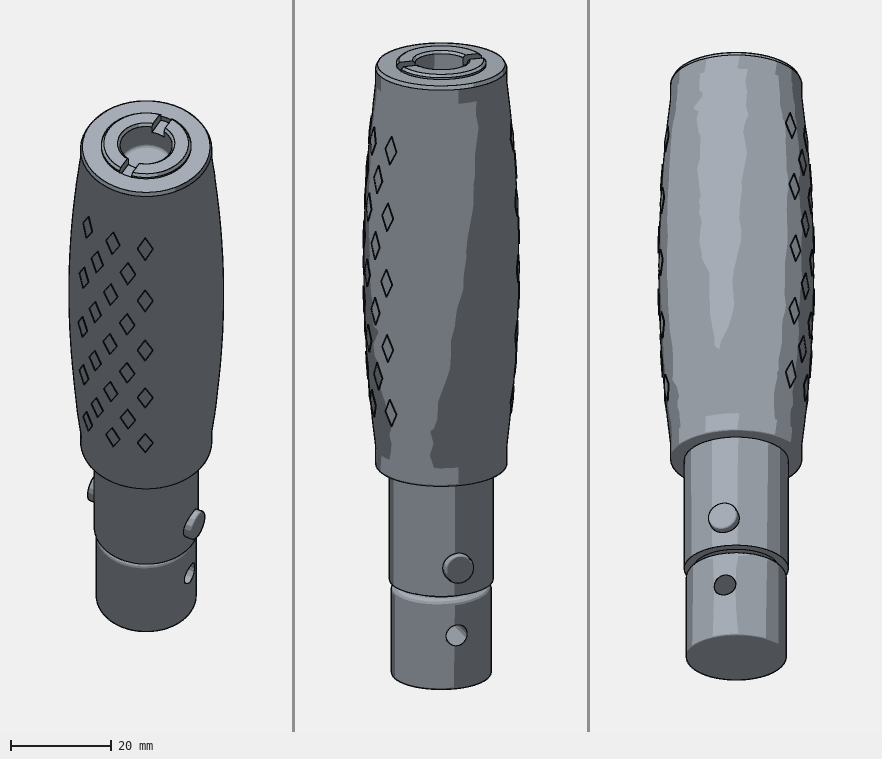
import cadquery as cq
import math

TOTAL_HEIGHT = 130.1
NUB_HEIGHT = 0.9
GRIP_BOTTOM = 44.2
GRIP_TOP = TOTAL_HEIGHT - NUB_HEIGHT
BAND_HEIGHT = 3.9
STEM_BOTTOM = 20.0
TIP_TOP = 19.0

GRIP_END_RADIUS = 13.1
GRIP_MID_RADIUS = 15.5
GRIP_TOP_CHAMFER_HEIGHT = 0.8
GRIP_TOP_CHAMFER_WIDTH = 0.4
GRIP_BOTTOM_FILLET = 0.4
BELLY_BOTTOM = GRIP_BOTTOM + BAND_HEIGHT
BELLY_TOP = GRIP_TOP - BAND_HEIGHT
GRIP_MID = (BELLY_BOTTOM + BELLY_TOP) / 2

DIAMOND_RELIEF = 0.2
DIAMOND_WIDTH = 3.1
DIAMOND_HEIGHT = 5.9
COLUMN_PITCH = 13.9
ROW_PITCH = COLUMN_PITCH / 2
ROWS_EACH_SIDE = 4
COLUMN_ANGLE = 13.5
FRONT_ANGLE = -90
BACK_ANGLE = 90

SPINDLE_RADIUS = 9.0
SPINDLE_CHAMFER = 0.5
STEM_RADIUS = 10.4
COLLAR_RADIUS = 8.6
NECK_RADIUS = 7.8
COLLAR_BOTTOM = (STEM_BOTTOM + TIP_TOP) / 2
TIP_RADIUS = 10.0
TIP_TOP_FILLET = 1.2
TIP_BOTTOM_FILLET = 0.4
BORE_RADIUS = 5.2
BORE_DEPTH = 6.2
BORE_CHAMFER = 0.5
BORE_FLOOR_FILLET = 0.8
SLOT_WIDTH = 2.7
SLOT_DEPTH = 2.1
BUTTON_RADIUS = 3.0
BUTTON_REACH = 11.8
BUTTON_FILLET = 0.4
BUTTON_HEIGHT = 26.0
CROSS_HOLE_DIAMETER = 4.4
CROSS_HOLE_HEIGHT = 11.5


def cylinder(radius, bottom, top):
    """Solid cylinder on the Z axis between two heights."""
    return cq.Workplane("XY").workplane(offset=bottom).circle(radius).extrude(top - bottom)


def frustum(bottom_radius, bottom, top_radius, top):
    """Solid truncated cone on the Z axis between two heights."""
    return cq.Workplane(cq.Solid.makeCone(bottom_radius, top_radius, top - bottom, cq.Vector(0, 0, bottom)))


def barrel(relief):
    """Barrel-shaped grip blank, with its radius enlarged by the given relief."""
    end_radius = GRIP_END_RADIUS + relief
    return (
        cq.Workplane("XZ")
        .moveTo(0, GRIP_BOTTOM)
        .lineTo(end_radius, GRIP_BOTTOM)
        .lineTo(end_radius, BELLY_BOTTOM)
        .threePointArc((GRIP_MID_RADIUS + relief, GRIP_MID), (end_radius, BELLY_TOP))
        .lineTo(end_radius, GRIP_TOP)
        .lineTo(0, GRIP_TOP)
        .close()
        .revolve(360, (0, 0, 0), (0, 1, 0))
    )


def diamond_prism(angle, height):
    """Diamond prism pointing radially outward at an angle about Z."""
    direction = math.radians(angle)
    outward = cq.Vector(math.cos(direction), math.sin(direction), 0)
    sideways = cq.Vector(-math.sin(direction), math.cos(direction), 0)
    start = outward * SPINDLE_RADIUS + cq.Vector(0, 0, height)
    return (
        cq.Workplane(cq.Plane(start, sideways, outward))
        .moveTo(DIAMOND_WIDTH / 2, 0)
        .lineTo(0, DIAMOND_HEIGHT / 2)
        .lineTo(-DIAMOND_WIDTH / 2, 0)
        .lineTo(0, -DIAMOND_HEIGHT / 2)
        .close()
        .extrude(GRIP_MID_RADIUS)
    )


def diamond_pads():
    """Staggered raised diamonds on the front and back of the grip."""
    raised_surface = barrel(DIAMOND_RELIEF)
    pads = []
    for side_angle in (FRONT_ANGLE, BACK_ANGLE):
        for row in range(-ROWS_EACH_SIDE, ROWS_EACH_SIDE + 1):
            columns = (-2, 0, 2) if row % 2 == 0 else (-1, 1)
            for column in columns:
                prism = diamond_prism(side_angle + column * COLUMN_ANGLE, GRIP_MID + row * ROW_PITCH)
                pads.append(raised_surface.intersect(prism).val())
    return pads


def make_grip():
    """Barrel sleeve with raised diamonds and a through bore for the spindle."""
    blank = barrel(0).faces("<Z").edges().fillet(GRIP_BOTTOM_FILLET)
    top_edge_cone = frustum(
        GRIP_END_RADIUS, GRIP_TOP - GRIP_TOP_CHAMFER_HEIGHT,
        GRIP_END_RADIUS - GRIP_TOP_CHAMFER_WIDTH, GRIP_TOP,
    )
    top_edge_ring = cylinder(GRIP_END_RADIUS, GRIP_TOP - GRIP_TOP_CHAMFER_HEIGHT, GRIP_TOP).cut(top_edge_cone)
    body = cq.Workplane(blank.cut(top_edge_ring).val().fuse(*diamond_pads()))
    return body.cut(cylinder(SPINDLE_RADIUS, GRIP_BOTTOM, GRIP_TOP))


def spindle_bore():
    """Blind bore in the spindle's top, with a chamfered mouth and a rounded floor."""
    floor = TOTAL_HEIGHT - BORE_DEPTH
    bore = cylinder(BORE_RADIUS, floor, TOTAL_HEIGHT).faces("<Z").edges().fillet(BORE_FLOOR_FILLET)
    mouth = frustum(BORE_RADIUS, TOTAL_HEIGHT - BORE_CHAMFER, BORE_RADIUS + BORE_CHAMFER, TOTAL_HEIGHT)
    return bore.union(mouth)


def make_core():
    """Slotted spindle, stem with side buttons, tapered collar, neck and cross-drilled tip."""
    spindle = cylinder(SPINDLE_RADIUS, GRIP_BOTTOM, TOTAL_HEIGHT).faces(">Z").edges().chamfer(SPINDLE_CHAMFER)
    stem = cylinder(STEM_RADIUS, STEM_BOTTOM, GRIP_BOTTOM)
    collar = frustum(NECK_RADIUS, COLLAR_BOTTOM, COLLAR_RADIUS, STEM_BOTTOM)
    neck = cylinder(NECK_RADIUS, TIP_TOP, COLLAR_BOTTOM)
    tip = (
        cylinder(TIP_RADIUS, 0, TIP_TOP)
        .faces(">Z").edges().fillet(TIP_TOP_FILLET)
        .faces("<Z").edges().fillet(TIP_BOTTOM_FILLET)
    )
    buttons = (
        cq.Workplane("YZ")
        .center(0, BUTTON_HEIGHT)
        .circle(BUTTON_RADIUS)
        .extrude(BUTTON_REACH, both=True)
        .faces("<X or >X").edges().fillet(BUTTON_FILLET)
    )
    slot = (
        cq.Workplane("XY")
        .workplane(offset=TOTAL_HEIGHT - SLOT_DEPTH)
        .rect(SLOT_WIDTH, 2 * SPINDLE_RADIUS)
        .extrude(SLOT_DEPTH)
    )
    cross_hole = (
        cq.Workplane("YZ")
        .center(0, CROSS_HOLE_HEIGHT)
        .circle(CROSS_HOLE_DIAMETER / 2)
        .extrude(2 * TIP_RADIUS, both=True)
    )
    core = spindle.union(stem).union(collar).union(neck).union(tip).union(buttons)
    return core.cut(spindle_bore()).cut(slot).cut(cross_hole)


grip = make_grip()
core = make_core()

result = cq.Compound.makeCompound([grip.solids().val(), core.solids().val()])